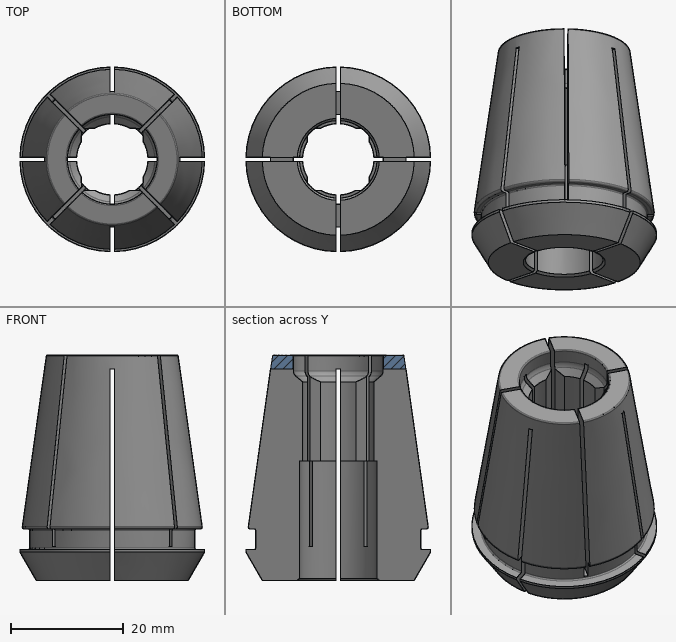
import cadquery as cq
import math

height = 40.0
flange_radius = 16.4
flange_top = 5.5
flange_rim_height = 0.5
nose_angle = 30.0
neck_radius = 14.7
neck_fillet = 0.25
cone_base = 9.1
cone_base_radius = 16.05
cone_angle = 8.0
cone_base_fillet = 0.4
cone_top_fillet = 0.25

counterbore_radius = 7.95
counterbore_rim_fillet = 0.25
funnel_fillet = 1.2
funnel_start = 3.35
funnel_depth = 4.75
relief_radius = 6.3
square_side = 11.0
square_length = 14.0
shank_radius = 6.9
shank_chamfer = 0.4

slot_width = 0.7
lower_slot_top = 37.5
upper_slot_floor = 6.05
slot_span = 3 * flange_radius

nose_height = flange_top - flange_rim_height
nose_radius = flange_radius - nose_height * math.tan(math.radians(nose_angle))
cone_top_radius = cone_base_radius - (height - cone_base) * math.tan(math.radians(cone_angle))
square_floor = height - funnel_depth - square_length


def fillet_circle(solid, radius, z, fillet_radius):
    """Round the circular edge of this radius at this height."""
    tolerance = 0.005

    def is_wanted(edge):
        return abs(edge.radius() - radius) < tolerance and abs(edge.Center().z - z) < tolerance

    return solid.edges("%CIRCLE").filter(is_wanted).fillet(fillet_radius)


def revolve_profile(points):
    """Turn a closed (radius, z) outline about the Z axis."""
    return cq.Workplane("XZ").polyline(points).close().revolve(360, (0, 0), (0, 1))


def outer_body():
    """Solid nose, flange, neck and clamping cone."""
    body = revolve_profile([
        (0, 0),
        (nose_radius, 0),
        (flange_radius, nose_height),
        (flange_radius, flange_top),
        (neck_radius, flange_top),
        (neck_radius, cone_base),
        (cone_base_radius, cone_base),
        (cone_top_radius, height),
        (0, height),
    ])
    body = fillet_circle(body, cone_top_radius, height, cone_top_fillet)
    body = fillet_circle(body, cone_base_radius, cone_base, cone_base_fillet)
    body = fillet_circle(body, neck_radius, cone_base, neck_fillet)
    return fillet_circle(body, neck_radius, flange_top, neck_fillet)


def entry_bore():
    """Counterbore with a funnel that leads into the square drive."""
    bore = revolve_profile([
        (0, height),
        (counterbore_radius, height),
        (counterbore_radius, height - funnel_start),
        (relief_radius, height - funnel_depth),
        (0, height - funnel_depth),
    ])
    return fillet_circle(bore, counterbore_radius, height - funnel_start, funnel_fillet)


def square_drive():
    """Square socket with a round relief, reaching up into the counterbore."""
    drive_top = height - funnel_start
    drive_length = drive_top - square_floor
    base = cq.Workplane("XY", origin=(0, 0, square_floor))
    relief = base.circle(relief_radius).extrude(drive_length)
    socket = base.rect(square_side, square_side).extrude(drive_length)
    inside_counterbore = base.circle(counterbore_radius).extrude(drive_length)
    return socket.intersect(inside_counterbore).union(relief)


def shank_bore():
    """Round bore below the square drive, chamfered at its mouth."""
    return revolve_profile([
        (0, 0),
        (shank_radius + shank_chamfer, 0),
        (shank_radius, shank_chamfer),
        (shank_radius, square_floor),
        (0, square_floor),
    ])


def crossed_slots(first_angle, bottom, top):
    """Two perpendicular slots through the full diameter."""
    slot = cq.Workplane("XY", origin=(0, 0, bottom)).rect(slot_span, slot_width).extrude(top - bottom)
    second = slot.rotate((0, 0, 0), (0, 0, 1), 90)
    return slot.union(second).rotate((0, 0, 0), (0, 0, 1), first_angle)


result = outer_body().cut(entry_bore()).cut(square_drive()).cut(shank_bore())
result = fillet_circle(result, counterbore_radius, height, counterbore_rim_fillet)
result = result.cut(crossed_slots(0, 0, lower_slot_top))
result = result.cut(crossed_slots(45, upper_slot_floor, height))